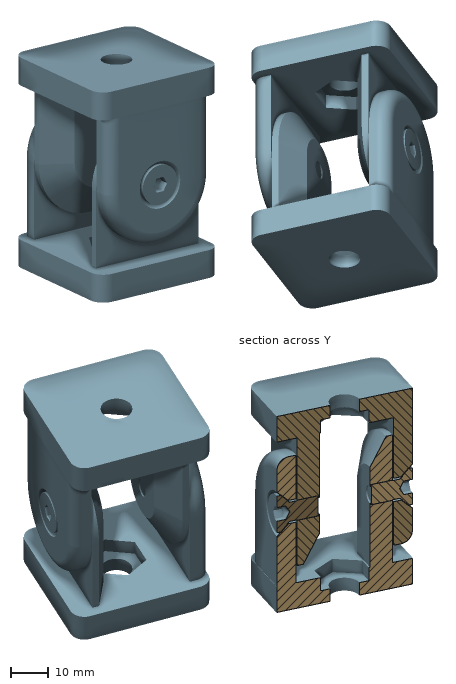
import cadquery as cq
import math


height = 60.0
plate_side = 40.0
plate_thickness = 8.0
plate_corner_radius = 4.0
bolt_hole_diameter = 8.5
nut_pocket_corner_diameter = 16.2
nut_pocket_depth = 4.0

arm_radius = 17.0
outer_arm_outside = 19.9
outer_arm_inside = 14.3
outer_arm_fillet = 3.4
inner_arm_outside = 14.05
inner_arm_inside = 7.4
inner_arm_rim = 1.9
inner_arm_tip_radius = 8.5

screw_diameter = 6.0
screw_clearance_diameter = 7.0
screw_head_diameter = 11.35
countersink_diameter = 13.45
screw_exit_diameter = 5.0
screw_end_recess = 0.4
socket_across_flats = 4.0
socket_depth = 2.4
socket_point_angle = 120.0

plate_inner_z = plate_thickness - height / 2
screw_length = outer_arm_outside - inner_arm_inside - screw_end_recess
screw_end_x = -outer_arm_outside + screw_length


def turn_over(body):
    """Turn a body half a turn about the Y axis."""
    return body.rotate((0, 0, 0), (0, 1, 0), 180)


def revolve_about_pivot(profile):
    """Revolve a closed XY profile about the X axis."""
    return profile.revolve(360, (0, 0, 0), (1, 0, 0))


def arm_from_section(half_section):
    """Round-ended arm: the half section revolved at the pivot and run straight down to the plate."""
    round_end = revolve_about_pivot(half_section)
    straight_half = half_section.toPending().extrude(plate_inner_z)
    return round_end.union(straight_half).union(straight_half.mirror("XZ"))


def make_plate():
    plate = (
        cq.Workplane("XY", origin=(0, 0, -height / 2))
        .rect(plate_side, plate_side)
        .extrude(plate_thickness)
        .edges("|Z")
        .fillet(plate_corner_radius)
    )
    bolt_hole = (
        cq.Workplane("XY", origin=(0, 0, -height / 2))
        .circle(bolt_hole_diameter / 2)
        .extrude(plate_thickness)
    )
    nut_pocket = (
        cq.Workplane("XY", origin=(0, 0, plate_inner_z))
        .transformed(rotate=(0, 0, 90))
        .polygon(6, nut_pocket_corner_diameter)
        .extrude(-nut_pocket_depth)
    )
    return plate.cut(bolt_hole).cut(nut_pocket)


def make_outer_arm():
    """Arm on the -X side, with a rounded outer edge and a countersunk clearance hole."""
    fillet_run = outer_arm_fillet * (1 - math.sqrt(0.5))
    section = (
        cq.Workplane("XY")
        .moveTo(-outer_arm_inside, 0)
        .lineTo(-outer_arm_inside, arm_radius)
        .lineTo(-outer_arm_outside + outer_arm_fillet, arm_radius)
        .threePointArc(
            (-outer_arm_outside + fillet_run, arm_radius - fillet_run),
            (-outer_arm_outside, arm_radius - outer_arm_fillet),
        )
        .lineTo(-outer_arm_outside, 0)
        .close()
    )
    sink_radius = countersink_diameter / 2
    clearance_radius = screw_clearance_diameter / 2
    sink_depth = sink_radius - clearance_radius
    hole = revolve_about_pivot(
        cq.Workplane("XY")
        .moveTo(-outer_arm_outside, 0)
        .lineTo(-outer_arm_outside, sink_radius)
        .lineTo(-outer_arm_outside + sink_depth, clearance_radius)
        .lineTo(-outer_arm_inside, clearance_radius)
        .lineTo(-outer_arm_inside, 0)
        .close()
    )
    return arm_from_section(section).cut(hole)


def make_inner_arm():
    """Arm on the +X side, bevelled towards the middle and bored to hold the screw."""
    section = (
        cq.Workplane("XY")
        .moveTo(inner_arm_outside, 0)
        .lineTo(inner_arm_outside, arm_radius)
        .lineTo(inner_arm_outside - inner_arm_rim, arm_radius)
        .lineTo(inner_arm_inside, inner_arm_tip_radius)
        .lineTo(inner_arm_inside, 0)
        .close()
    )
    screw_bore = (
        cq.Workplane("YZ", origin=(-screw_end_x, 0, 0))
        .circle(screw_diameter / 2)
        .extrude(inner_arm_outside + screw_end_x)
    )
    exit_hole = (
        cq.Workplane("YZ", origin=(inner_arm_inside, 0, 0))
        .circle(screw_exit_diameter / 2)
        .extrude(screw_end_recess)
    )
    return arm_from_section(section).cut(screw_bore).cut(exit_hole)


def make_yoke():
    return make_plate().union(make_outer_arm()).union(make_inner_arm())


def make_socket():
    """Hexagonal key socket that ends in a conical drill point."""
    corner_diameter = socket_across_flats / math.cos(math.radians(30))
    corner_radius = corner_diameter / 2
    point_depth = corner_radius / math.tan(math.radians(socket_point_angle / 2))
    hexagon = (
        cq.Workplane("YZ", origin=(-outer_arm_outside, 0, 0))
        .polygon(6, corner_diameter)
        .extrude(socket_depth + point_depth)
    )
    pointed_drill = revolve_about_pivot(
        cq.Workplane("XY", origin=(-outer_arm_outside, 0, 0))
        .lineTo(0, corner_radius)
        .lineTo(socket_depth, corner_radius)
        .lineTo(socket_depth + point_depth, 0)
        .close()
    )
    return hexagon.intersect(pointed_drill)


def make_screw():
    """Screw on the -X side, its head cone seated in the countersink."""
    head_radius = screw_head_diameter / 2
    shank_radius = screw_diameter / 2
    head_rim = (countersink_diameter - screw_head_diameter) / 2
    head_height = head_rim + head_radius - shank_radius
    blank = revolve_about_pivot(
        cq.Workplane("XY", origin=(-outer_arm_outside, 0, 0))
        .lineTo(0, head_radius)
        .lineTo(head_rim, head_radius)
        .lineTo(head_height, shank_radius)
        .lineTo(screw_length, shank_radius)
        .lineTo(screw_length, 0)
        .close()
    )
    return blank.cut(make_socket())


lower_yoke = make_yoke()
upper_yoke = turn_over(lower_yoke)
left_screw = make_screw()
screws = [left_screw, turn_over(left_screw)]

result = cq.Compound.makeCompound(
    [lower_yoke.val(), upper_yoke.val()] + [screw.val() for screw in screws]
)